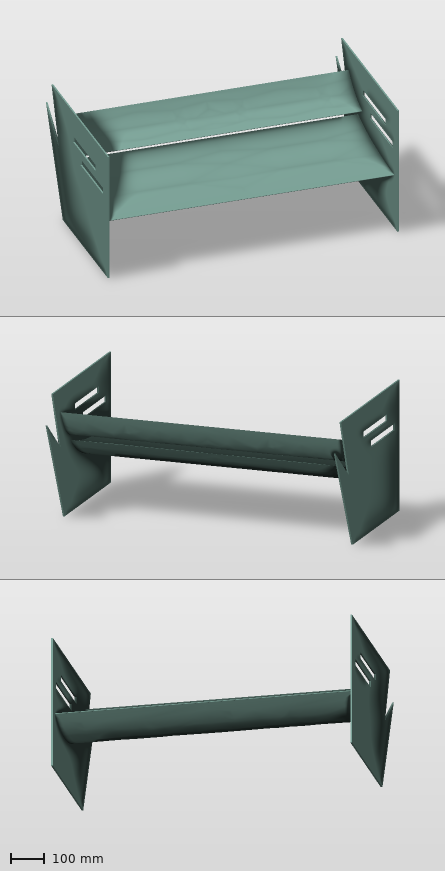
import cadquery as cq

OVERALL_SPAN = 910.0
PLATE_THICKNESS = 5.0
PLATE_HEIGHT = 400.0
HALF_WING_SPAN = OVERALL_SPAN / 2 - PLATE_THICKNESS

BOTTOM_FRONT_X = -400.0
TOP_FRONT_X = -500.5
NOSE_TIP = (-550.0, 318.0)
NOTCH_ROOT = (-435.0, 222.0)

SLOT_LENGTH = 200.0
SLOT_HEIGHT = 20.0
SLOT_CORNERS = [(-308.5, 302.0), (-243.0, 257.5)]

TRAILING_EDGE_THICKNESS = 3.0

FLAP_LEADING_EDGE = (-433.0, 328.0)
FLAP_TOP_POINTS = [(-396.0, 290.0)]
FLAP_TRAILING_EDGE = (-313.0, 250.0)
FLAP_BOTTOM_POINTS = [(-398.0, 269.0), (-358.5, 240.0)]

MAIN_LEADING_EDGE = (-350.0, 221.0)
MAIN_TOP_POINTS = [(-267.5, 198.0), (-161.0, 183.0)]
MAIN_TRAILING_EDGE = (-31.0, 175.0)
MAIN_BOTTOM_POINTS = [(-267.5, 163.0), (-177.0, 138.0)]


def make_end_plate(outer_y):
    """End plate with a pointed, notched front edge; it fills outer_y - thickness to outer_y."""
    outline = [
        (BOTTOM_FRONT_X, 0),
        (0, 0),
        (0, PLATE_HEIGHT),
        (TOP_FRONT_X, PLATE_HEIGHT),
        NOTCH_ROOT,
        NOSE_TIP,
    ]
    plane = cq.Workplane("XZ", origin=(0, outer_y, 0))
    plate = plane.polyline(outline).close().extrude(PLATE_THICKNESS)
    for corner_x, corner_z in SLOT_CORNERS:
        slot = (
            plane.moveTo(corner_x, corner_z)
            .rect(SLOT_LENGTH, SLOT_HEIGHT, centered=False)
            .extrude(PLATE_THICKNESS)
        )
        plate = plate.cut(slot)
    return plate


def make_half_wing(end_y, leading_edge, top_points, trailing_edge, bottom_points):
    """Wing section extruded over half the span, ending at end_y on its +Y side."""
    trailing_x, trailing_z = trailing_edge
    trailing_bottom = (trailing_x, trailing_z - TRAILING_EDGE_THICKNESS)
    trailing_radius = TRAILING_EDGE_THICKNESS / 2
    trailing_tip = (trailing_x + trailing_radius, trailing_z - trailing_radius)
    return (
        cq.Workplane("XZ", origin=(0, end_y, 0))
        .moveTo(*leading_edge)
        .spline([*top_points, trailing_edge], includeCurrent=True)
        .threePointArc(trailing_tip, trailing_bottom)
        .spline([*reversed(bottom_points), leading_edge], includeCurrent=True)
        .close()
        .extrude(HALF_WING_SPAN)
    )


def make_flap_half(end_y):
    """Half of the upper front wing."""
    return make_half_wing(
        end_y, FLAP_LEADING_EDGE, FLAP_TOP_POINTS, FLAP_TRAILING_EDGE, FLAP_BOTTOM_POINTS
    )


def make_main_half(end_y):
    """Half of the lower rear wing."""
    return make_half_wing(
        end_y, MAIN_LEADING_EDGE, MAIN_TOP_POINTS, MAIN_TRAILING_EDGE, MAIN_BOTTOM_POINTS
    )


end_plates = [make_end_plate(y) for y in (OVERALL_SPAN / 2, PLATE_THICKNESS - OVERALL_SPAN / 2)]
flap_halves = [make_flap_half(y) for y in (0, HALF_WING_SPAN)]
main_halves = [make_main_half(y) for y in (0, HALF_WING_SPAN)]

result = cq.Compound.makeCompound(
    [body.val() for body in end_plates + flap_halves + main_halves]
)